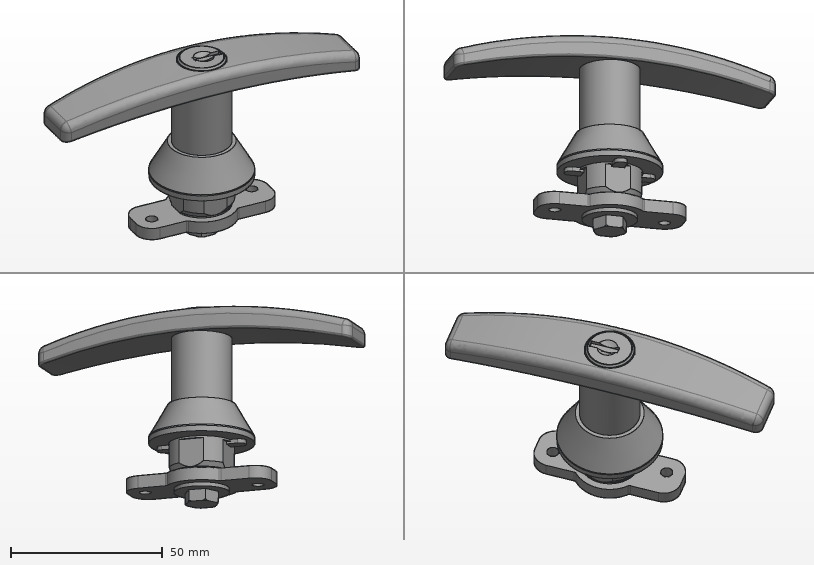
import cadquery as cq
import math


GRIP_LENGTH = 110.0
GRIP_HALF_WIDTH_MIDDLE = 11.8
GRIP_HALF_WIDTH_END = 8.2
GRIP_TOP = 43.9
GRIP_TOP_SAG = 8.0
GRIP_BOTTOM = 36.0
GRIP_BOTTOM_SAG = 6.6
GRIP_TOP_FILLET = 3.0
GRIP_BOTTOM_FILLET = 0.7
STEM_RADIUS = 10.0
SHAFT_RADIUS = 7.7

CORE_RADIUS = 7.3
SLEEVE_RADIUS = 8.0
LOCK_POCKET_RADIUS = 8.4
LOCK_TOP = 44.5
LOCK_BOTTOM = 37.4
SLEEVE_BEVEL_WIDTH = 0.5
SLEEVE_BEVEL_HEIGHT = 0.7
KEY_SLOT_WIDTH = 2.3
KEY_SLOT_START = -3.0
KEY_SLOT_END = 6.7
KEY_SLOT_DEPTH = 1.1
KEY_DISH_RADIUS = 3.4
KEY_DISH_DEPTH = 1.1
KEY_DISH_CENTER = 0.8

GASKET_RADIUS = 17.5
GASKET_THICKNESS = 1.9
TAB_WIDTH = 4.4
TAB_REACH = 15.5
TAB_HEIGHT = 1.4
TAB_ANGLES = (90, 180, 270)

CONE_RIM_HEIGHT = 0.4
CONE_TOP = 13.0
CONE_TOP_RADIUS = 11.3
BARREL_RADIUS = 10.9
BARREL_HALF_WIDTH_X = 10.0
BARREL_HALF_WIDTH_Y = 9.5
BARREL_COLLAR_HEIGHT = 0.7
BARREL_BOTTOM = -10.7
BARREL_NECK_RADIUS = 10.0
BARREL_NECK_HEIGHT = 0.5
BARREL_CHAMFER_HEIGHT = 1.6

CAM_CLEARANCE = 0.3
CAM_TOP = BARREL_BOTTOM - CAM_CLEARANCE
CAM_THICKNESS = 4.3
CAM_HUB_RADIUS = 12.2
CAM_LENGTH = 50.6
CAM_LOBE_WIDTH = 15.8
CAM_CORNER_RADIUS = 5.8
CAM_NECK_FILLET = 1.0
CAM_HOLE_RADIUS = 2.0
CAM_HOLE_X = 1.5
CAM_HOLE_Y = -19.2

WASHER_RADIUS = 9.1
WASHER_THICKNESS = 1.3
BOLT_HEAD_FLATS = 10.0
BOLT_HEAD_HEIGHT = 4.0
BOLT_HEAD_CHAMFER = 0.4
BOLT_HEAD_TURN = 2.5
BOLT_SHANK_RADIUS = 3.0
BOLT_REACH = 6.6

CAM_BOTTOM = CAM_TOP - CAM_THICKNESS
WASHER_BOTTOM = CAM_BOTTOM - WASHER_THICKNESS
BOLT_BOTTOM = WASHER_BOTTOM - BOLT_HEAD_HEIGHT
BOLT_TOP = CAM_TOP + BOLT_REACH


def cylinder(radius, bottom, top):
    """Round bar on the Z axis between two heights."""
    return cq.Workplane("XY").workplane(offset=bottom).circle(radius).extrude(top - bottom)


def make_grip():
    """Bar that is arched in side view and barrel-shaped in plan, with rounded edges."""
    half = GRIP_LENGTH / 2
    arch = (
        cq.Workplane("YZ")
        .moveTo(-half, GRIP_TOP - GRIP_TOP_SAG)
        .threePointArc((0, GRIP_TOP), (half, GRIP_TOP - GRIP_TOP_SAG))
        .lineTo(half, GRIP_BOTTOM - GRIP_BOTTOM_SAG)
        .threePointArc((0, GRIP_BOTTOM), (-half, GRIP_BOTTOM - GRIP_BOTTOM_SAG))
        .close()
        .extrude(2 * GRIP_HALF_WIDTH_MIDDLE, both=True)
    )
    plan = (
        cq.Workplane("XY")
        .moveTo(-GRIP_HALF_WIDTH_END, -half)
        .lineTo(GRIP_HALF_WIDTH_END, -half)
        .threePointArc((GRIP_HALF_WIDTH_MIDDLE, 0), (GRIP_HALF_WIDTH_END, half))
        .lineTo(-GRIP_HALF_WIDTH_END, half)
        .threePointArc((-GRIP_HALF_WIDTH_MIDDLE, 0), (-GRIP_HALF_WIDTH_END, -half))
        .close()
        .extrude(GRIP_TOP)
    )
    grip = arch.intersect(plan)
    top_and_corner_edges = grip.faces(">Z").edges().add(grip.edges("|Z"))
    grip = top_and_corner_edges.fillet(GRIP_TOP_FILLET)
    underside = cq.selectors.NearestToPointSelector((0, 0, GRIP_BOTTOM))
    return grip.faces(underside).edges().fillet(GRIP_BOTTOM_FILLET)


def make_handle():
    """Grip, stem and drive shaft in one piece, with a lock pocket and a hole for the bolt."""
    stem = cylinder(STEM_RADIUS, CONE_TOP, (GRIP_TOP + GRIP_BOTTOM) / 2)
    shaft = cylinder(SHAFT_RADIUS, CAM_TOP, CONE_TOP)
    lock_pocket = cylinder(LOCK_POCKET_RADIUS, LOCK_BOTTOM, LOCK_TOP)
    bolt_hole = cylinder(BOLT_SHANK_RADIUS, CAM_TOP, BOLT_TOP)
    return make_grip().union(stem).union(shaft).cut(lock_pocket).cut(bolt_hole)


def make_lock_sleeve():
    """Tube around the key core, bevelled outside at the top."""
    sleeve = cylinder(SLEEVE_RADIUS, LOCK_BOTTOM, LOCK_TOP)
    sleeve = sleeve.faces(">Z").chamfer(SLEEVE_BEVEL_HEIGHT, SLEEVE_BEVEL_WIDTH)
    return sleeve.cut(cylinder(CORE_RADIUS, LOCK_BOTTOM, LOCK_TOP))


def make_lock_core():
    """Key core with a key slot and a shallow dish around the slot."""
    core = cylinder(CORE_RADIUS, LOCK_BOTTOM, LOCK_TOP)
    slot_length = KEY_SLOT_END - KEY_SLOT_START
    slot = cq.Workplane("XY").box(KEY_SLOT_WIDTH, slot_length, KEY_SLOT_DEPTH, centered=(True, False, False))
    slot = slot.translate((0, KEY_SLOT_START, LOCK_TOP - KEY_SLOT_DEPTH))
    dish_sphere_radius = (KEY_DISH_RADIUS**2 + KEY_DISH_DEPTH**2) / (2 * KEY_DISH_DEPTH)
    dish_height = LOCK_TOP - KEY_DISH_DEPTH + dish_sphere_radius
    dish = cq.Workplane("XY").sphere(dish_sphere_radius).translate((0, KEY_DISH_CENTER, dish_height))
    return core.cut(slot).cut(dish)


def make_gasket_tab(angle):
    """Round-ended tab under the gasket, reaching outward from the barrel."""
    inner = BARREL_HALF_WIDTH_Y
    tab = (
        cq.Workplane("XY")
        .moveTo(inner, -TAB_WIDTH / 2)
        .lineTo(TAB_REACH - TAB_WIDTH / 2, -TAB_WIDTH / 2)
        .threePointArc((TAB_REACH, 0), (TAB_REACH - TAB_WIDTH / 2, TAB_WIDTH / 2))
        .lineTo(inner, TAB_WIDTH / 2)
        .close()
        .extrude(-TAB_HEIGHT)
    )
    return tab.rotate((0, 0, 0), (0, 0, 1), angle)


def make_gasket(housing):
    """Flat ring between cone and panel, with its tabs, fitted closely around the housing."""
    gasket = cylinder(GASKET_RADIUS, 0, GASKET_THICKNESS)
    gasket = gasket.cut(cylinder(BARREL_RADIUS, 0, GASKET_THICKNESS))
    for angle in TAB_ANGLES:
        gasket = gasket.union(make_gasket_tab(angle))
    return gasket.cut(housing)


def make_housing():
    """Cone over the panel and a barrel with four flats through it, bored for the handle shaft."""
    rim_top = GASKET_THICKNESS + CONE_RIM_HEIGHT
    cone = (
        cq.Workplane("XZ")
        .moveTo(0, GASKET_THICKNESS)
        .lineTo(GASKET_RADIUS, GASKET_THICKNESS)
        .lineTo(GASKET_RADIUS, rim_top)
        .lineTo(CONE_TOP_RADIUS, CONE_TOP)
        .lineTo(0, CONE_TOP)
        .close()
        .revolve(360, (0, 0, 0), (0, 1, 0))
    )
    neck_top = BARREL_BOTTOM + BARREL_NECK_HEIGHT
    barrel = cylinder(BARREL_RADIUS, neck_top, 0)
    barrel = barrel.faces("<Z").chamfer(BARREL_CHAMFER_HEIGHT, BARREL_RADIUS - BARREL_NECK_RADIUS)
    barrel = barrel.union(cylinder(BARREL_NECK_RADIUS, BARREL_BOTTOM, neck_top))
    flats = cq.Workplane("XY").box(
        2 * BARREL_HALF_WIDTH_X, 2 * BARREL_HALF_WIDTH_Y, -BARREL_BOTTOM, centered=(True, True, False)
    )
    barrel = barrel.intersect(flats.translate((0, 0, BARREL_BOTTOM)))
    collar = cylinder(BARREL_RADIUS, -BARREL_COLLAR_HEIGHT, GASKET_THICKNESS)
    bore = cylinder(SHAFT_RADIUS, BARREL_BOTTOM, CONE_TOP)
    return cone.union(collar).union(barrel).cut(bore)


def make_cam():
    """Plate with a round hub and two lobes, each with rounded corners and a hole."""
    lobes = cq.Workplane("XY").workplane(offset=CAM_BOTTOM).rect(CAM_LOBE_WIDTH, CAM_LENGTH)
    lobes = lobes.extrude(CAM_THICKNESS).edges("|Z").fillet(CAM_CORNER_RADIUS)
    cam = lobes.union(cylinder(CAM_HUB_RADIUS, CAM_BOTTOM, CAM_TOP))
    margin = 0.1
    neck_y = math.sqrt(CAM_HUB_RADIUS**2 - (CAM_LOBE_WIDTH / 2) ** 2)
    neck_zone = cq.selectors.BoxSelector(
        (-CAM_HUB_RADIUS, -neck_y - margin, CAM_BOTTOM), (CAM_HUB_RADIUS, neck_y + margin, CAM_TOP)
    )
    cam = cam.edges("|Z").edges(neck_zone).fillet(CAM_NECK_FILLET)
    holes = (
        cq.Workplane("XY")
        .workplane(offset=CAM_BOTTOM)
        .pushPoints([(CAM_HOLE_X, CAM_HOLE_Y), (-CAM_HOLE_X, -CAM_HOLE_Y)])
        .circle(CAM_HOLE_RADIUS)
        .extrude(CAM_THICKNESS)
    )
    return cam.cut(holes).cut(cylinder(BOLT_SHANK_RADIUS, CAM_BOTTOM, CAM_TOP))


def make_washer():
    """Flat ring between the bolt head and the cam."""
    washer = cylinder(WASHER_RADIUS, WASHER_BOTTOM, CAM_BOTTOM)
    return washer.cut(cylinder(BOLT_SHANK_RADIUS, WASHER_BOTTOM, CAM_BOTTOM))


def make_bolt():
    """Hexagon head with chamfered corners and a plain shank up into the handle shaft."""
    corner_radius = BOLT_HEAD_FLATS / math.sqrt(3)
    hexagon = cq.Workplane("XY").workplane(offset=BOLT_BOTTOM).polygon(6, 2 * corner_radius)
    head = hexagon.extrude(BOLT_HEAD_HEIGHT).rotate((0, 0, 0), (0, 0, 1), 90 + BOLT_HEAD_TURN)
    crown = cylinder(corner_radius, BOLT_BOTTOM, WASHER_BOTTOM).faces("<Z").chamfer(BOLT_HEAD_CHAMFER)
    return head.intersect(crown).union(cylinder(BOLT_SHANK_RADIUS, WASHER_BOTTOM, BOLT_TOP))


handle = make_handle()
lock_sleeve = make_lock_sleeve()
lock_core = make_lock_core()
housing = make_housing()
gasket = make_gasket(housing)
cam = make_cam()
washer = make_washer()
bolt = make_bolt()

result = cq.Compound.makeCompound(
    [
        handle.val(),
        lock_sleeve.val(),
        lock_core.val(),
        housing.val(),
        gasket.val(),
        cam.val(),
        washer.val(),
        bolt.val(),
    ]
)